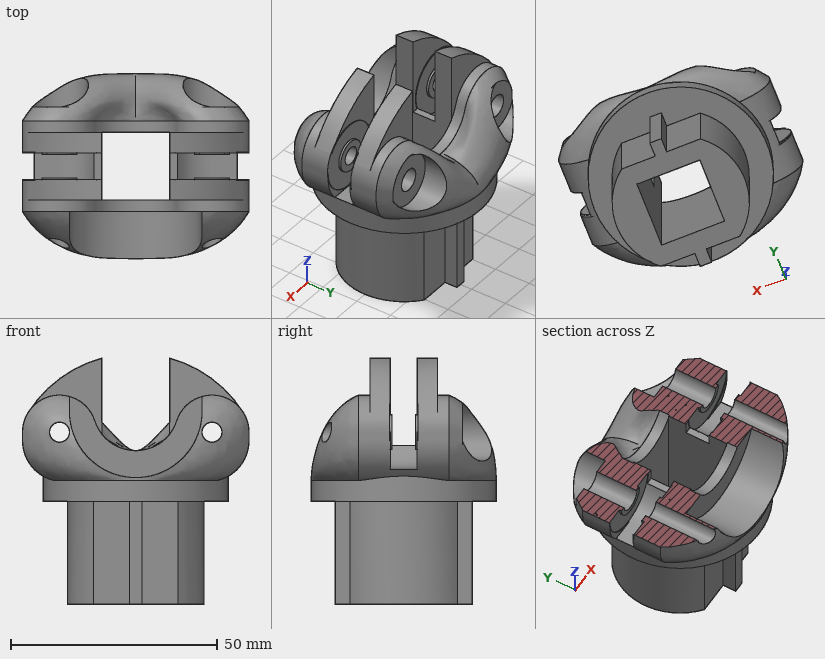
import cadquery as cq
import math

STEM_HEIGHT = 25.0
STEM_RADIUS = 16.65
STEM_FLAT_Y = 13.1
KEY_WIDTH = 3.0
FLANGE_RADIUS = 22.5
FLANGE_HEIGHT = 5.0
OVERALL_HEIGHT = 59.77

PIN_X = 18.5
LOBE_RADIUS = 9.0
FLANK_HEIGHT = 2.0
UNDERSIDE_RADIUS = 10.0
SADDLE_ABOVE_FLANGE = 7.3
BODY_HALF_DEPTH = 11.0

BORE_WIDTH = 16.4
GAP_WIDTH = 6.5
GAP_BRIDGE_Z = 38.6
POCKET_DEPTH = 0.2
BOSS_DIAMETER = 8.5
BOSS_PROUD = 0.4
TAPPED_HOLE_DIAMETER = 4.8
CLEARANCE_HOLE_DIAMETER = 6.0
HEAD_DIAMETER = 14.0
HEAD_SEAT_Y = 14.3
SCOOP_RADIUS = 16.1
SCOOP_ABOVE_FLANGE = 0.75
DOME_FULLNESS = 1.42

TURN_STEPS = 12
OUTLINE_STEPS = 48
FIT_TOLERANCE = 0.01
FIT_MIN_DEGREE = 3
FIT_MAX_DEGREE = 6

FLANGE_TOP = STEM_HEIGHT + FLANGE_HEIGHT
SIDE_X = PIN_X + LOBE_RADIUS
BODY_WIDTH = 2 * SIDE_X
WALL_Y = GAP_WIDTH / 2
SIDES = (-1, 1)

FOOT_X = math.sqrt(FLANGE_RADIUS**2 - BODY_HALF_DEPTH**2)
UNDERSIDE_X = SIDE_X - UNDERSIDE_RADIUS
FOOT_ANGLE = -math.acos((FOOT_X - UNDERSIDE_X) / UNDERSIDE_RADIUS)
FLANK_Z = FLANGE_TOP - UNDERSIDE_RADIUS * math.sin(FOOT_ANGLE)
PIN_Z = FLANK_Z + FLANK_HEIGHT

SADDLE_Z = FLANGE_TOP + SADDLE_ABOVE_FLANGE
PIN_RISE = PIN_Z - SADDLE_Z
SADDLE_RADIUS = (PIN_X**2 + PIN_RISE**2 - LOBE_RADIUS**2) / (2 * (LOBE_RADIUS + PIN_RISE))
SADDLE_CENTRE_Z = SADDLE_Z + SADDLE_RADIUS
TANGENT_ANGLE = math.atan2(PIN_Z - SADDLE_CENTRE_Z, PIN_X)


def on_arc(centre_x, centre_z, radius, angle):
    return (centre_x + radius * math.cos(angle), centre_z + radius * math.sin(angle))


def box_between(x_range, y_range, z_range):
    """Axis-aligned box from (low, high) pairs."""
    size = [high - low for low, high in (x_range, y_range, z_range)]
    corner = (x_range[0], y_range[0], z_range[0])
    return cq.Workplane("XY").box(*size, centered=False).translate(corner)


def cylinder_along_y(x, z, radius, y_low, y_high):
    disc = cq.Workplane("XZ", origin=(x, y_low, z)).circle(radius)
    return disc.extrude(y_low - y_high)


def outline_point(fraction):
    """(x, z) on the right half outline, by arc length from flange foot to saddle bottom."""
    lobe_sweep = math.pi + TANGENT_ANGLE
    saddle_sweep = math.pi / 2 + TANGENT_ANGLE
    underside_end = -FOOT_ANGLE * UNDERSIDE_RADIUS
    flank_end = underside_end + FLANK_HEIGHT
    lobe_end = flank_end + lobe_sweep * LOBE_RADIUS
    travel = fraction * (lobe_end + saddle_sweep * SADDLE_RADIUS)
    if travel <= underside_end:
        angle = FOOT_ANGLE + travel / UNDERSIDE_RADIUS
        return on_arc(UNDERSIDE_X, FLANK_Z, UNDERSIDE_RADIUS, angle)
    if travel <= flank_end:
        return (SIDE_X, FLANK_Z + travel - underside_end)
    if travel <= lobe_end:
        return on_arc(PIN_X, PIN_Z, LOBE_RADIUS, (travel - flank_end) / LOBE_RADIUS)
    angle = TANGENT_ANGLE - (travel - lobe_end) / SADDLE_RADIUS
    return on_arc(0, SADDLE_CENTRE_Z, SADDLE_RADIUS, angle)


def dome_point(turn, fraction):
    """Point on the dome skin, which fans about the saddle bottom at the end of the body.

    turn runs from the body outline (0) to the centre plane (1); there the outline
    has faded into a quarter ellipse from the saddle bottom down to the flange rim.
    """
    x, z = outline_point(fraction)
    quarter = fraction * math.pi / 2
    fade = math.cos(turn * math.pi / 2)
    reach_share = abs(fade) ** DOME_FULLNESS
    height_share = (fade**2 + 1 - turn) / 2
    reach = reach_share * x / FOOT_X + (1 - reach_share) * math.cos(quarter)
    ellipse_z = FLANGE_TOP + SADDLE_ABOVE_FLANGE * math.sin(quarter)
    height = height_share * z + (1 - height_share) * ellipse_z

    start_angle = math.atan2(BODY_HALF_DEPTH, FOOT_X)
    rim_angle = start_angle + turn * (math.pi / 2 - start_angle)
    rim_x = FLANGE_RADIUS * math.cos(rim_angle)
    rim_y = FLANGE_RADIUS * math.sin(rim_angle)
    y = BODY_HALF_DEPTH + reach * (rim_y - BODY_HALF_DEPTH)
    return cq.Vector(reach * rim_x, y, height)


def make_quarter_dome():
    """Solid under the dome skin for x > 0, y > 0."""
    grid = [
        [dome_point(i / TURN_STEPS, j / OUTLINE_STEPS) for j in range(OUTLINE_STEPS + 1)]
        for i in range(TURN_STEPS + 1)
    ]
    skin = cq.Face.makeSplineApprox(grid, tol=FIT_TOLERANCE, minDeg=FIT_MIN_DEGREE, maxDeg=FIT_MAX_DEGREE)
    skin_boundary = cq.Workplane("XY").newObject([skin])
    outline = skin_boundary.edges("<Y").val()
    rim = skin_boundary.edges("<Z").val()
    crease = skin_boundary.edges("<X").val()

    root = cq.Vector(0, BODY_HALF_DEPTH, FLANGE_TOP)
    across = cq.Edge.makeLine(root, grid[0][0])
    outward = cq.Edge.makeLine(root, grid[-1][0])
    upright = cq.Edge.makeLine(root, grid[0][-1])
    loops = ([outline, upright, across], [rim, outward, across], [crease, upright, outward])
    walls = [cq.Face.makeFromWires(cq.Wire.assembleEdges(loop)) for loop in loops]
    shell = cq.Shell.makeShell([skin] + walls)
    return cq.Workplane("XY").newObject([cq.Solid.makeSolid(shell)])


def make_rear_dome():
    quarter = make_quarter_dome()
    return quarter.union(quarter.mirror("YZ"))


def make_body():
    """Prism with two lobes, a saddle between them and rounded undersides."""
    right_tangent = on_arc(PIN_X, PIN_Z, LOBE_RADIUS, math.pi + TANGENT_ANGLE)
    lobe_top = (PIN_X, PIN_Z + LOBE_RADIUS)
    under_mid = on_arc(UNDERSIDE_X, FLANK_Z, UNDERSIDE_RADIUS, FOOT_ANGLE / 2)

    def flip(point):
        return (-point[0], point[1])

    outline = (
        cq.Workplane("XZ", origin=(0, BODY_HALF_DEPTH, 0))
        .moveTo(FOOT_X, FLANGE_TOP)
        .threePointArc(under_mid, (SIDE_X, FLANK_Z))
        .lineTo(SIDE_X, PIN_Z)
        .threePointArc(lobe_top, right_tangent)
        .threePointArc((0, SADDLE_Z), flip(right_tangent))
        .threePointArc(flip(lobe_top), (-SIDE_X, PIN_Z))
        .lineTo(-SIDE_X, FLANK_Z)
        .threePointArc(flip(under_mid), (-FOOT_X, FLANGE_TOP))
        .close()
    )
    return outline.extrude(2 * BODY_HALF_DEPTH)


def make_stem():
    """Round stem with two flats, each carrying a central key."""
    stem = cq.Workplane("XY").circle(STEM_RADIUS).extrude(STEM_HEIGHT)
    flats_slab = cq.Workplane("XY").rect(2 * STEM_RADIUS, 2 * STEM_FLAT_Y).extrude(STEM_HEIGHT)
    keys = cq.Workplane("XY").rect(KEY_WIDTH, 2 * STEM_RADIUS).extrude(STEM_HEIGHT)
    return stem.intersect(flats_slab).union(keys)


def make_flange():
    """Flange disc, carried up between the domes until it meets the rounded undersides."""
    flange = cq.Workplane("XY", origin=(0, 0, STEM_HEIGHT)).circle(FLANGE_RADIUS).extrude(FLANGE_HEIGHT)
    meet_angle = math.acos((FLANGE_RADIUS - UNDERSIDE_X) / UNDERSIDE_RADIUS)
    meet_z = FLANK_Z - UNDERSIDE_RADIUS * math.sin(meet_angle)
    collar = (
        cq.Workplane("XY", origin=(0, 0, FLANGE_TOP))
        .circle(FLANGE_RADIUS)
        .extrude(meet_z - FLANGE_TOP)
    )
    span = (-FLANGE_RADIUS, FLANGE_RADIUS)
    depth = (-BODY_HALF_DEPTH, BODY_HALF_DEPTH)
    return flange.union(collar.intersect(box_between(span, depth, (FLANGE_TOP, meet_z))))


def make_arms():
    """Plates rising out of the lobes; their round edge leaves each lobe tangentially."""
    edge_radius = math.hypot(PIN_X, PIN_Z - FLANGE_TOP) + LOBE_RADIUS
    lobe_angle = math.atan2(PIN_Z - FLANGE_TOP, PIN_X)
    half_bore = BORE_WIDTH / 2
    right = (
        cq.Workplane("XZ", origin=(0, half_bore, 0))
        .moveTo(PIN_X, PIN_Z)
        .lineTo(*on_arc(PIN_X, PIN_Z, LOBE_RADIUS, lobe_angle))
        .radiusArc((half_bore, OVERALL_HEIGHT), -edge_radius)
        .lineTo(half_bore, SADDLE_Z)
        .close()
        .extrude(BORE_WIDTH)
    )
    return right.union(right.mirror("YZ"))


def make_gap_cut(side):
    """Clearance for a swinging link: open top, round seat about the pin, level run-out."""
    gap_y = (-WALL_Y, WALL_Y)
    seat_z = PIN_Z - LOBE_RADIUS
    seat = cylinder_along_y(side * PIN_X, PIN_Z, LOBE_RADIUS, *gap_y)
    run_out = box_between((PIN_X, BODY_WIDTH), gap_y, (seat_z, OVERALL_HEIGHT))
    open_top = box_between((0, PIN_X), gap_y, (GAP_BRIDGE_Z, OVERALL_HEIGHT))
    opening = run_out.union(open_top)
    if side < 0:
        opening = opening.mirror("YZ")
    pocket_y = WALL_Y + POCKET_DEPTH
    pocket = cylinder_along_y(side * PIN_X, PIN_Z, LOBE_RADIUS, -pocket_y, pocket_y)
    return seat.union(opening).union(pocket)


def add_pin_bosses(part):
    boss_top = WALL_Y - BOSS_PROUD
    boss_root = WALL_Y + 2 * POCKET_DEPTH
    for side in SIDES:
        for y_low, y_high in ((-boss_root, -boss_top), (boss_top, boss_root)):
            boss = cylinder_along_y(side * PIN_X, PIN_Z, BOSS_DIAMETER / 2, y_low, y_high)
            part = part.union(boss)
    return part


def cut_pin_holes(part):
    """Tapped hole in front, clearance hole and round head recess behind."""
    for side in SIDES:
        x = side * PIN_X
        part = part.cut(cylinder_along_y(x, PIN_Z, TAPPED_HOLE_DIAMETER / 2, -FLANGE_RADIUS, 0))
        part = part.cut(cylinder_along_y(x, PIN_Z, CLEARANCE_HOLE_DIAMETER / 2, 0, HEAD_SEAT_Y))
        part = part.cut(cylinder_along_y(x, PIN_Z, HEAD_DIAMETER / 2, HEAD_SEAT_Y, FLANGE_RADIUS))
    return part


def make_scoop():
    """Round-bottomed recess through the front dome, open at the top."""
    centre_z = FLANGE_TOP + SCOOP_ABOVE_FLANGE + SCOOP_RADIUS
    depth = (-SIDE_X, 0)
    round_bottom = cylinder_along_y(0, centre_z, SCOOP_RADIUS, *depth)
    return round_bottom.union(
        box_between((-SCOOP_RADIUS, SCOOP_RADIUS), depth, (centre_z, OVERALL_HEIGHT))
    )


rear_dome = make_rear_dome()
front_dome = rear_dome.mirror("XZ").cut(make_scoop())
part = make_body().union(make_arms()).union(make_flange()).union(make_stem())
part = part.union(rear_dome).union(front_dome)
part = part.cut(cq.Workplane("XY").rect(BORE_WIDTH, BORE_WIDTH).extrude(OVERALL_HEIGHT))
for side in SIDES:
    part = part.cut(make_gap_cut(side))
part = add_pin_bosses(part)
part = cut_pin_holes(part)
result = part.clean()